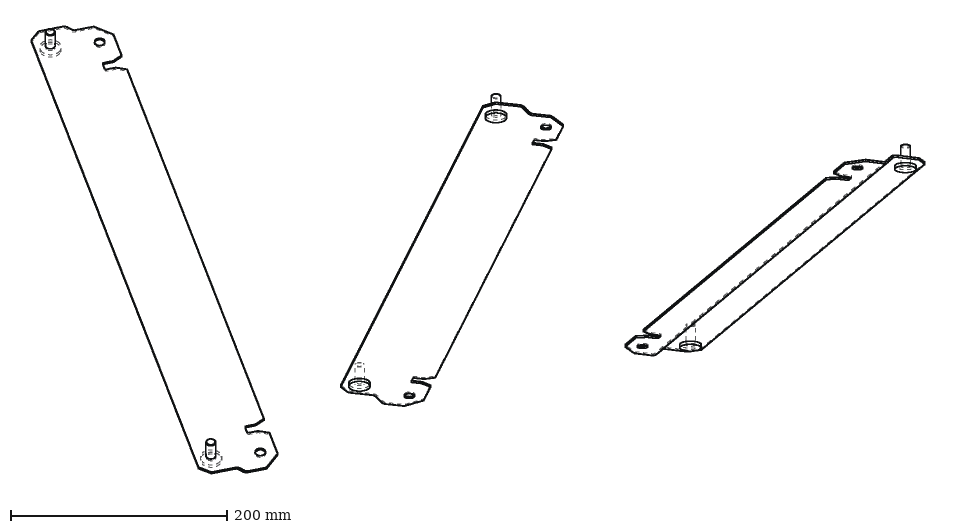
import cadquery as cq
import math

LENGTH = 600.0
WIDTH = 77.5
HEIGHT = 27.5

SHEET = 2.0
STEP = 8.0
BEND_ANGLE = math.radians(45)
BEND_INSIDE_RADIUS = 5.0
JOGGLE_START = 32.5

REAR_CHAMFER = 15.0
FRONT_CHAMFER = 9.5
HOLE_INSET_X = 21.0
HOLE_INSET_Y = 15.0
HOLE_DIAMETER = 9.5
NOTCH_INSET_X = 53.0
NOTCH_MOUTH = 19.0
NOTCH_WIDTH = 9.0
NOTCH_DEPTH = 20.0
NOTCH_TAPER_DEPTH = 9.5
NOTCH_CORNER_RADIUS = 1.0

STUD_DIAMETER = 9.0
STUD_INSET_Y = 15.0
STUD_CHAMFER = 0.5
HEAD_DIAMETER = 20.0
HEAD_THICKNESS = 3.1

REAR = WIDTH / 2
FRONT = -WIDTH / 2
HOLE_X = LENGTH / 2 - HOLE_INSET_X
NOTCH_X = LENGTH / 2 - NOTCH_INSET_X
FLANGE_BOTTOM = STEP


def make_joggled_sheet():
    """Sweep the sheet's cross-section along its middle line, from rear to front."""
    radius = BEND_INSIDE_RADIUS + SHEET / 2
    bend_run = radius * math.sin(BEND_ANGLE)
    bend_rise = radius * (1 - math.cos(BEND_ANGLE))
    slope_rise = STEP - 2 * bend_rise
    slope_run = slope_rise / math.tan(BEND_ANGLE)

    low = SHEET / 2
    high = low + STEP
    bend_start = REAR - JOGGLE_START
    slope_start = bend_start - bend_run
    slope_end = slope_start - slope_run
    bend_end = slope_end - bend_run

    middle_line = (
        cq.Workplane("YZ")
        .moveTo(REAR, low)
        .lineTo(bend_start, low)
        .tangentArcPoint((slope_start, low + bend_rise), relative=False)
        .lineTo(slope_end, high - bend_rise)
        .tangentArcPoint((bend_end, high), relative=False)
        .lineTo(FRONT, high)
    )
    return (
        cq.Workplane("XZ", origin=(0, REAR, low))
        .rect(LENGTH, SHEET)
        .sweep(middle_line)
    )


def make_outline():
    """Plan outline of the plate with its four cut corners, taller than the joggle."""
    return (
        cq.Workplane("XY")
        .rect(LENGTH, WIDTH)
        .extrude(HEIGHT)
        .edges("|Z and >Y")
        .chamfer(REAR_CHAMFER)
        .edges("|Z and (<X or >X) and <Y")
        .chamfer(FRONT_CHAMFER)
    )


def make_notch_cutter(x):
    """Notch open to the rear edge, with a tapered mouth and rounded inner corners."""
    half_mouth = NOTCH_MOUTH / 2
    half_width = NOTCH_WIDTH / 2
    taper_end = REAR - NOTCH_TAPER_DEPTH
    bottom = REAR - NOTCH_DEPTH
    return (
        cq.Workplane("XY")
        .polyline([
            (x - half_mouth, REAR),
            (x - half_width, taper_end),
            (x - half_width, bottom),
            (x + half_width, bottom),
            (x + half_width, taper_end),
            (x + half_mouth, REAR),
        ])
        .close()
        .extrude(HEIGHT)
        .edges("|Z and <Y")
        .fillet(NOTCH_CORNER_RADIUS)
    )


def make_plate(stud_centers):
    rear_hole_centers = [(side * HOLE_X, REAR - HOLE_INSET_Y) for side in (-1, 1)]
    rear_holes = (
        cq.Workplane("XY").pushPoints(rear_hole_centers).circle(HOLE_DIAMETER / 2).extrude(HEIGHT)
    )
    stud_holes = (
        cq.Workplane("XY").pushPoints(stud_centers).circle(STUD_DIAMETER / 2).extrude(HEIGHT)
    )
    plate = make_joggled_sheet().intersect(make_outline()).cut(rear_holes).cut(stud_holes)
    for side in (-1, 1):
        plate = plate.cut(make_notch_cutter(side * NOTCH_X))
    return plate


def make_stud(center):
    """Headed stud whose shank passes up through the front flange."""
    x, y = center
    shank = (
        cq.Workplane("XY", origin=(x, y, FLANGE_BOTTOM))
        .circle(STUD_DIAMETER / 2)
        .extrude(HEIGHT - FLANGE_BOTTOM)
        .faces(">Z")
        .chamfer(STUD_CHAMFER)
    )
    head = (
        cq.Workplane("XY", origin=(x, y, FLANGE_BOTTOM - HEAD_THICKNESS))
        .circle(HEAD_DIAMETER / 2)
        .extrude(HEAD_THICKNESS)
    )
    return head.union(shank)


stud_centers = [(side * HOLE_X, FRONT + STUD_INSET_Y) for side in (-1, 1)]
plate = make_plate(stud_centers)
studs = [make_stud(center) for center in stud_centers]

result = cq.Compound.makeCompound([plate.val(), *[stud.val() for stud in studs]])